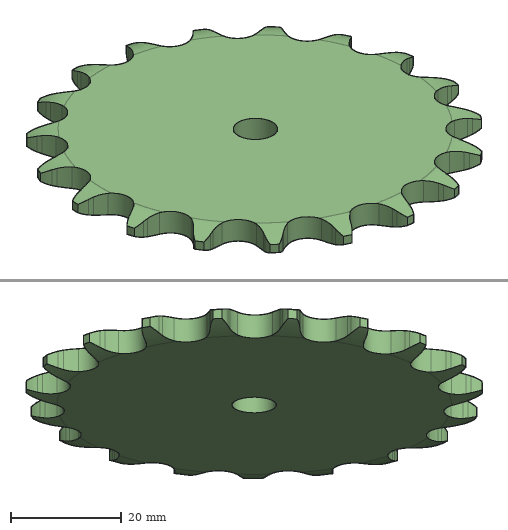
import cadquery as cq
import math

tooth_count = 19
pitch_diameter = 77.1
roller_diameter = 7.95
seat_clearance = 0.038
outer_radius = 41.45
bore_diameter = 8.0
plate_thickness = 4.5
tip_thickness = 1.7
flat_face_radius = 35.75

seat_angle = 35 + 60 / tooth_count
working_angle = 18 - 56 / tooth_count
topping_angle = 17 - 64 / tooth_count
topping_sweep = 30

pitch_radius = pitch_diameter / 2
seat_radius = 0.5025 * roller_diameter + seat_clearance
working_center_offset = 0.8 * roller_diameter
working_radius = seat_radius + working_center_offset
topping_center_offset = 1.4 * roller_diameter
topping_radius = (
    working_center_offset * math.cos(math.radians(working_angle))
    + topping_center_offset * math.cos(math.radians(topping_angle))
    - working_radius
)

half_thickness = plate_thickness / 2
half_tip = tip_thickness / 2
rounding_depth = half_thickness - half_tip
rounding_width = outer_radius - flat_face_radius
rounding_radius = (rounding_width**2 + rounding_depth**2) / (2 * rounding_depth)


def polar(center, radius, degrees):
    """Point at the given distance and direction from a centre."""
    angle = math.radians(degrees)
    return (center[0] + radius * math.cos(angle), center[1] + radius * math.sin(angle))


def mirrored(point):
    """Point reflected across the Y axis."""
    return (-point[0], point[1])


def rounding_point(fraction):
    """Point (radius, height) on the upper side rounding, 0 at the flat face and 1 at the tip."""
    angle = fraction * math.asin(rounding_width / rounding_radius)
    return (
        flat_face_radius + rounding_radius * math.sin(angle),
        half_thickness - rounding_radius * (1 - math.cos(angle)),
    )


def make_blank():
    """Disc with rounded sides, revolved about Z."""
    middle = rounding_point(0.5)
    return (
        cq.Workplane("XZ")
        .moveTo(0, -half_thickness)
        .lineTo(flat_face_radius, -half_thickness)
        .threePointArc((middle[0], -middle[1]), (outer_radius, -half_tip))
        .lineTo(outer_radius, half_tip)
        .threePointArc(middle, (flat_face_radius, half_thickness))
        .lineTo(0, half_thickness)
        .close()
        .revolve(360, (0, 0, 0), (0, 1, 0))
    )


def make_gap_cutter():
    """Space between two teeth, centred on +Y: seat, working arcs, straight flanks, topping arcs."""
    seat_center = (0, pitch_radius)
    working_center = polar(seat_center, working_center_offset, seat_angle)
    topping_center = polar(seat_center, topping_center_offset, 180 + 180 / tooth_count)

    seat_end_angle = 180 + seat_angle
    flank_angle = seat_angle - working_angle

    seat_bottom = (0, pitch_radius - seat_radius)
    seat_end = polar(seat_center, seat_radius, seat_end_angle)
    working_middle = polar(working_center, working_radius, seat_end_angle - working_angle / 2)
    flank_start = polar(working_center, working_radius, 180 + flank_angle)
    flank_end = polar(topping_center, topping_radius, flank_angle)
    topping_middle = polar(topping_center, topping_radius, flank_angle + topping_sweep / 2)
    topping_end = polar(topping_center, topping_radius, flank_angle + topping_sweep)

    return (
        cq.Workplane("XY")
        .workplane(offset=-half_thickness)
        .moveTo(*topping_end)
        .threePointArc(topping_middle, flank_end)
        .lineTo(*flank_start)
        .threePointArc(working_middle, seat_end)
        .threePointArc(seat_bottom, mirrored(seat_end))
        .threePointArc(mirrored(working_middle), mirrored(flank_start))
        .lineTo(*mirrored(flank_end))
        .threePointArc(mirrored(topping_middle), mirrored(topping_end))
        .close()
        .extrude(plate_thickness)
    )


def cut_gaps(body):
    """Cut the evenly spaced tooth gaps."""
    cutter = make_gap_cutter()
    for index in range(tooth_count):
        angle = index * 360 / tooth_count
        body = body.cut(cutter.rotate((0, 0, 0), (0, 0, 1), angle))
    return body


def cut_bore(body):
    """Cut the central through bore."""
    return body.faces(">Z").workplane(origin=(0, 0, 0)).hole(bore_diameter)


result = cut_bore(cut_gaps(make_blank()))